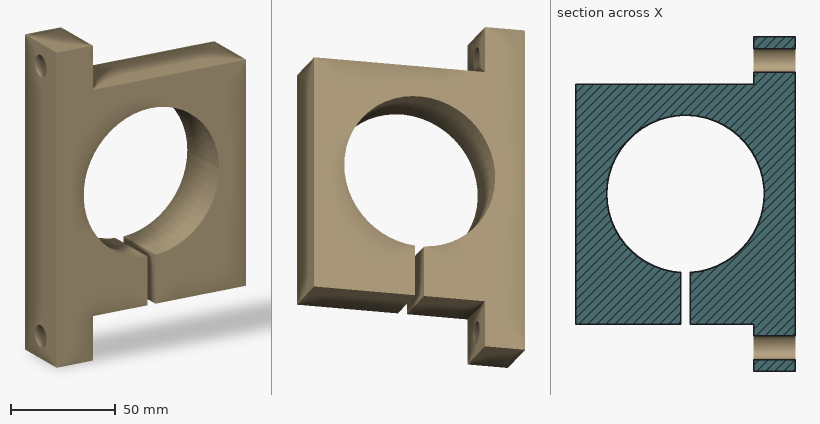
import cadquery as cq

thickness = 30.0
depth = 105.0
height = 160.0

flange_depth = 20.0
flange_hole_diameter = 11.0
flange_hole_inset = 11.4

flange_overhang = 22.5
body_height = height - 2 * flange_overhang

bore_diameter = 75.0
wall_above_bore = 15.0
slot_width = 4.5
bore_y = depth / 2
bore_z = height - flange_overhang - wall_above_bore - bore_diameter / 2


def block(y_start, y_length, z_start, z_length):
    """Box spanning the full thickness, centred on X."""
    box = cq.Workplane("XY").box(thickness, y_length, z_length, centered=(True, False, False))
    return box.translate((0, y_start, z_start))


def flange_hole(z):
    """Cutter for a mounting hole through the flange along Y."""
    hole = cq.Workplane("XZ", origin=(0, 0, z)).circle(flange_hole_diameter / 2)
    return hole.extrude(-flange_depth)


flange = block(0, flange_depth, 0, height)
body = block(0, depth, flange_overhang, body_height)
result = flange.union(body)

bore_start = cq.Workplane("YZ", origin=(-thickness / 2, bore_y, bore_z))
bore = bore_start.circle(bore_diameter / 2).extrude(thickness)
slot = block(bore_y - slot_width / 2, slot_width, flange_overhang, bore_z - flange_overhang)
result = result.cut(bore).cut(slot)

for hole_z in (flange_hole_inset, height - flange_hole_inset):
    result = result.cut(flange_hole(hole_z))